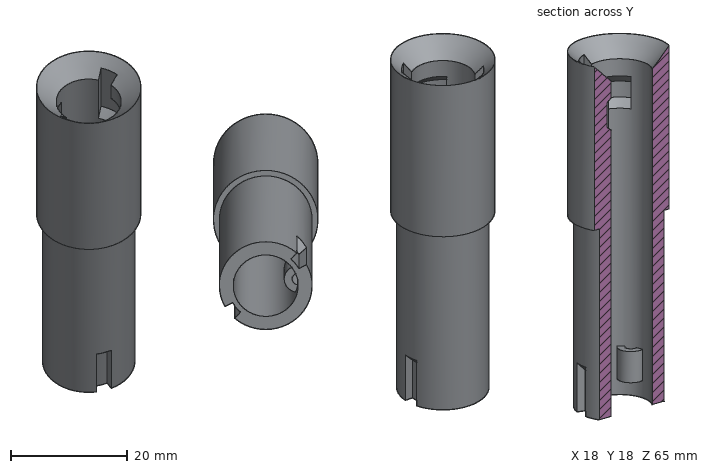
import cadquery as cq
import math

length = 65.0
head_diameter = 18.0
head_length = 30.0
shank_diameter = 16.0
bore_diameter = 11.2

head_radius = head_diameter / 2
shank_radius = shank_diameter / 2
bore_radius = bore_diameter / 2
funnel_depth = head_radius - bore_radius

groove_radius = 7.1
groove_depth = groove_radius - bore_radius
groove_floor = 54.0
groove_ceiling = 58.45
entry_start = 110.0
entry_end = 136.0
turn_start = 30.0

keyway_height = 9.05
keyway_root_radius = 6.5
keyway_start = 163.1
keyway_end = 182.6
keyway_depth = shank_radius - keyway_root_radius

eyelet_angle = 210.0
eyelet_bottom = 3.2
eyelet_top = 8.9
eyelet_outer_radius = shank_radius - bore_radius
eyelet_hole_radius = 1.05

half_turn = 180.0
overcut = 0.65


def cylinder(radius, bottom, top):
    return cq.Workplane("XY").workplane(offset=bottom).circle(radius).extrude(top - bottom)


def polar(radius, angle):
    return radius * math.cos(math.radians(angle)), radius * math.sin(math.radians(angle))


def sector(radius, start, end, bottom, top):
    """Pie-shaped prism about the Z axis."""
    return (
        cq.Workplane("XY")
        .workplane(offset=bottom)
        .lineTo(*polar(radius, start))
        .threePointArc(polar(radius, (start + end) / 2), polar(radius, end))
        .close()
        .extrude(top - bottom)
    )


def turned(profile):
    """Solid of revolution about the Z axis from (radius, height) points."""
    return cq.Workplane("XZ").polyline(profile).close().revolve(360, (0, 0), (0, 1))


def sleeve():
    """Stepped tube with a funnel at its mouth."""
    profile = [
        (bore_radius, 0),
        (shank_radius, 0),
        (shank_radius, length - head_length),
        (head_radius, length - head_length),
        (head_radius, length),
        (bore_radius, length - funnel_depth),
    ]
    return turned(profile)


def bayonet_groove():
    """Entry slot from the mouth, turning sideways at its foot, with 45 degree floor and ceiling."""
    inner_radius = bore_radius - overcut
    inner_floor = groove_floor - groove_depth - overcut
    turn_profile = [
        (inner_radius, inner_floor),
        (groove_radius, groove_floor),
        (groove_radius, groove_ceiling - groove_depth),
        (inner_radius, groove_ceiling + overcut),
    ]
    entry_profile = [
        (inner_radius, inner_floor),
        (groove_radius, groove_floor),
        (groove_radius, length),
        (inner_radius, length),
    ]
    entry_sector = sector(groove_radius + overcut, entry_start, entry_end, 0, length)
    turn_sector = sector(groove_radius + overcut, turn_start, entry_end, 0, length)
    entry = turned(entry_profile).intersect(entry_sector)
    turn = turned(turn_profile).intersect(turn_sector)
    return entry.union(turn)


def keyway():
    """Slot in the shank wall whose 45 degree ceiling drops towards the root."""
    slot = sector(shank_radius + overcut, keyway_start, keyway_end, 0, keyway_height + overcut)
    wedge_profile = [
        (keyway_root_radius, 0),
        (shank_radius + overcut, 0),
        (shank_radius + overcut, keyway_height + overcut),
        (keyway_root_radius, keyway_height - keyway_depth),
    ]
    return slot.intersect(turned(wedge_profile))


def eyelet():
    """Upright ring centred on the bore wall and kept within the shank."""
    ring = (
        cq.Workplane("XY")
        .workplane(offset=eyelet_bottom)
        .center(*polar(bore_radius, eyelet_angle))
        .circle(eyelet_outer_radius)
        .circle(eyelet_hole_radius)
        .extrude(eyelet_top - eyelet_bottom)
    )
    return ring.intersect(cylinder(shank_radius, eyelet_bottom, eyelet_top))


result = sleeve()
for turn_angle in (0, half_turn):
    for cutter in (bayonet_groove(), keyway()):
        result = result.cut(cutter.rotate((0, 0, 0), (0, 0, 1), turn_angle))
result = result.union(eyelet())